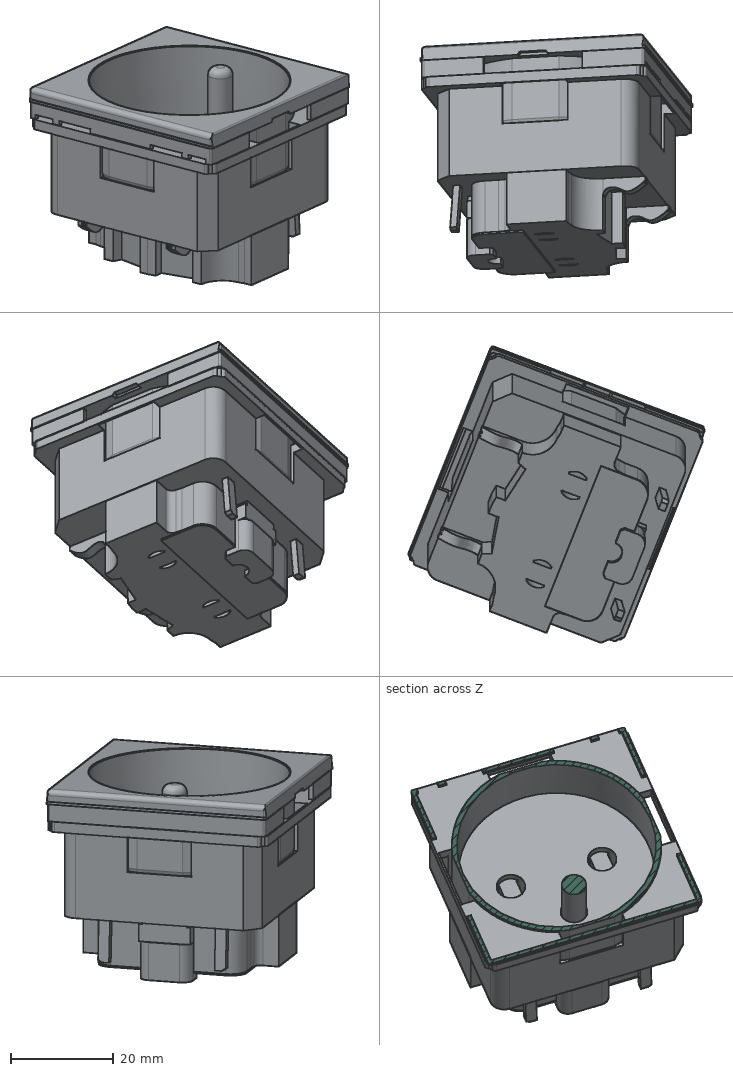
import cadquery as cq
import math


top = 0
front_band_top = -2.35
band_bottom = -2.9
slot_top = -5.35
flange_top = -6.3
flange_bottom = -8.35
cup_floor = -14.95
pocket_floor = -15.98
body_bottom = -26.0
base_bottom = -36.45
plate_bottom = -36.8
foot_bottom = -38.15

flange_half = 22.5
band_lip = 0.22
band_corner = 0.45
cover_half = flange_half - band_lip
cover_corner_radius = 0.45
cap_corner_radius = 0.6
crown_radius = 1.1
crown_side_radius = 0.35
crown_side_half = 22.25
cover_wall = 0.9
cavity_half = cover_half - cover_wall
flange_notch = 1.1
flange_round = 0.68
column_half = 21.95
column_chamfer = 0.55
slot_spans = ((7.4, 15.08), (16.7, 20.92))
window_half = 9.9
window_notch_half_bottom = 3.0
window_notch_half_top = 2.55
window_notch_height = 0.65

body_half = 20.1
body_corner = 2.92

cup_radius = 19.6
cup_floor_radius = 19.15
cup_lip = 0.2
cup_outer_radius = 20.5
cup_flat = 20.0
cup_foot_height = 0.75
cup_foot_inset = 0.22
pocket_half_width = 6.55
pocket_outer = 22.1

contact_offset = 9.5
contact_radius = 2.8
contact_hole_depth = 1.35
passage_half_height = 1.85
contact_bar_width = 3.6
pin_offset = 9.95
pin_radius = 2.45
pin_top = -0.1
pin_tip_radius = 0.8
pin_seat_radius = 2.6
pin_seat_depth = 0.9

base_half = 20.0
base_front = -6.25
base_back = 5.7
shoulder = 18.25
neck = 16.95
neck_front = -6.52
post_outer = 11.92
post_inner = 9.75
post_front = -11.85
wall_outer = 9.05
wall_outer_front = -10.05
wall_inner_front = -11.45
back_half = 15.1
back_step = 0.2
back_step_y = 8.4
back_fillet = 1.4
back_corner_y = 11.05
back_end = 14.35

rib_half = 1.8
rib_front = -13.6
rib_shy_front = -13.3

terminal_half = 5.25
terminal_back = 17.2
terminal_top = -30.5
terminal_corner = 2.1
terminal_block_back = 16.8
terminal_step = -27.1
terminal_step_inset = 0.68
foot_front = 11.6
foot_corner = 0.65
foot_groove_radius = 2.02
plate_half = 15.08
plate_front = 3.45
plate_back = 14.3

tab_inner = 10.8
tab_outer = 13.05
tab_bottom = -34.88
tab_thickness = 1.35
tab_root = 17.85
tab_tip = 18.55
tab_bevel_height = 0.75
tab_bevel_inset = 0.45
hook_front = -20.25
hook_nose_bottom = -26.9
hook_wave = [(-18.9, -28.0), (-16.65, -28.85), (-14.4, -27.95), (-13.28, -27.85), (post_front, -29.25)]
hook_groove_spans = ((10.05, 10.25), (10.7, 11.05))
hook_groove_bottom = -27
hook_groove_depth = 0.45


def slab(half_x, half_y, z_low, z_high):
    """Centred block between two levels."""
    return (
        cq.Workplane("XY")
        .workplane(offset=z_low)
        .rect(2 * half_x, 2 * half_y)
        .extrude(z_high - z_low)
    )


def block(x_span, y_span, z_span):
    """Block between two limits along each axis."""
    sizes = [high - low for low, high in (x_span, y_span, z_span)]
    corner = (x_span[0], y_span[0], z_span[0])
    return cq.Workplane("XY").box(*sizes, centered=False).translate(corner)


def disc(radius, z_low, z_high, x=0, y=0):
    """Vertical cylinder between two levels."""
    return (
        cq.Workplane("XY")
        .workplane(offset=z_low)
        .center(x, y)
        .circle(radius)
        .extrude(z_high - z_low)
    )


def both_sides(shape):
    """The shape together with its mirror image across the YZ plane."""
    return shape.union(shape.mirror("YZ"))


def make_cover():
    """Square cap with a crowned top and flared sides, a raised band and a skirt below it."""
    cap = slab(flange_half, cover_half, band_bottom, top)
    cap = cap.edges(">Z and |X").fillet(crown_radius)
    corner_limit = slab(flange_half, cover_half, band_bottom, top).edges("|Z").fillet(cap_corner_radius)
    cap = cap.intersect(make_side_profile()).intersect(corner_limit)
    band = slab(flange_half, flange_half, band_bottom, front_band_top)
    band = band.edges("|Z").chamfer(band_corner).intersect(make_side_profile())
    skirt = slab(cover_half, cover_half, flange_top, band_bottom)
    return cap.union(band).union(skirt.edges("|Z").fillet(cover_corner_radius))


def make_side_profile():
    """Limits the cap towards the sides: small top rounding and flared faces."""
    profile = (
        cq.Workplane("XZ")
        .polyline([
            (-crown_side_half, top),
            (crown_side_half, top),
            (flange_half, band_bottom),
            (-flange_half, band_bottom),
        ])
        .close()
        .extrude(flange_half, both=True)
    )
    return profile.edges(">Z and |Y").fillet(crown_side_radius)


def make_flange():
    """Flange with notched corners, each partly filled by a bevelled column."""
    flange = slab(flange_half, flange_half, flange_bottom, flange_top)
    notch_centre = flange_half - flange_notch / 2
    for x in (-notch_centre, notch_centre):
        for y in (-notch_centre, notch_centre):
            notch = slab(flange_notch / 2, flange_notch / 2, flange_bottom, flange_top)
            flange = flange.cut(notch.translate((x, y, 0)))
    flange = flange.edges("|Z").edges(">X or <X or >Y or <Y").fillet(flange_round)
    column = slab(column_half, column_half, flange_bottom, flange_top)
    return flange.union(column.edges("|Z").chamfer(column_chamfer))


def make_body():
    body = slab(body_half, body_half, body_bottom, flange_bottom)
    rounded = body.edges("|Z").edges("(<X and <Y) or (>X and >Y)").fillet(body_corner)
    return rounded.edges("|Z").edges("(<X and >Y) or (>X and <Y)").chamfer(body_corner)


def make_cup_shell():
    """Round outside of the cup with four flats, all bevelled at the foot."""
    round_shell = disc(cup_outer_radius, pocket_floor, band_bottom)
    square_shell = slab(cup_flat, cup_flat, pocket_floor, band_bottom)
    bevelled = [
        shell.faces("<Z").edges().chamfer(cup_foot_height, cup_foot_inset)
        for shell in (round_shell, square_shell)
    ]
    return bevelled[0].intersect(bevelled[1])


def make_hollows(cup_shell):
    """Cover cavity, side openings and clip pockets, all bounded inwards by the cup."""
    hollows = slab(cavity_half, cavity_half, flange_top, band_bottom)
    hollows = hollows.union(slab(pocket_outer, pocket_half_width, pocket_floor, flange_top))
    hollows = hollows.union(slab(pocket_half_width, pocket_outer, pocket_floor, flange_top))
    hollows = hollows.union(slab(flange_half, window_half, flange_top, band_bottom))
    for near, far in slot_spans:
        slot = block((near, far), (-flange_half, -cavity_half), (flange_top, slot_top))
        hollows = hollows.union(both_sides(slot))
    return hollows.cut(cup_shell)


def make_window_notches():
    bottom = band_bottom
    notch = (
        cq.Workplane("YZ")
        .polyline([
            (-window_notch_half_bottom, bottom),
            (window_notch_half_bottom, bottom),
            (window_notch_half_top, bottom + window_notch_height),
            (-window_notch_half_top, bottom + window_notch_height),
        ])
        .close()
        .extrude(flange_half, both=True)
    )
    return notch.cut(slab(cavity_half, flange_half, flange_top, top))


def make_cup_bore():
    return (
        cq.Workplane("XZ")
        .polyline([
            (0, cup_floor),
            (cup_floor_radius, cup_floor),
            (cup_radius, top - cup_lip),
            (cup_radius + cup_lip, top),
            (0, top),
        ])
        .close()
        .revolve(360, (0, 0, 0), (0, 1, 0))
    )


def make_contact_hole():
    """Round blind hole whose floor opens downwards on both sides of a contact bar."""
    floor = cup_floor - contact_hole_depth
    passage = slab(contact_radius, passage_half_height, foot_bottom, floor)
    passage = passage.intersect(disc(contact_radius, foot_bottom, floor))
    passage = passage.cut(slab(contact_bar_width / 2, contact_radius, foot_bottom, floor))
    hole = disc(contact_radius, floor, cup_floor).union(passage)
    return hole.translate((contact_offset, 0, 0))


def make_earth_pin():
    pin = disc(pin_radius, cup_floor - pin_seat_depth, pin_top, y=pin_offset)
    return pin.faces(">Z").edges().fillet(pin_radius - pin_tip_radius)


def make_base():
    """Terminal base with a scooped recess beside each front post."""
    diagonal = math.sqrt(0.5)
    scoop_middle = (
        neck - (neck - post_outer) * diagonal,
        post_front + (neck_front - post_front) * diagonal,
    )
    back_fillet_y = base_back + back_fillet
    stepped_back = back_half + back_step
    back_radius = back_end - back_corner_y
    half = (
        cq.Workplane("XY")
        .workplane(offset=base_bottom)
        .moveTo(0, wall_inner_front)
        .lineTo(rib_half, wall_inner_front)
        .lineTo(wall_outer, wall_outer_front)
        .lineTo(post_inner, post_front)
        .lineTo(post_outer, post_front)
        .threePointArc(scoop_middle, (neck, neck_front))
        .lineTo(shoulder, base_front)
        .lineTo(base_half, base_front)
        .lineTo(base_half, base_back)
        .lineTo(stepped_back + back_fillet, base_back)
        .radiusArc((stepped_back, back_fillet_y), back_fillet)
        .lineTo(back_half, back_step_y)
        .lineTo(back_half, back_corner_y)
        .radiusArc((back_half - back_radius, back_end), -back_radius)
        .lineTo(0, back_end)
        .close()
        .extrude(body_bottom - base_bottom)
    )
    return both_sides(half).union(make_rib())


def make_rib():
    """Rib whose right half falls back slightly."""
    return (
        cq.Workplane("XY")
        .workplane(offset=base_bottom)
        .polyline([
            (-rib_half, wall_inner_front),
            (-rib_half, rib_front),
            (0, rib_front),
            (rib_half, rib_shy_front),
            (rib_half, wall_inner_front),
        ])
        .close()
        .extrude(body_bottom - base_bottom)
    )


def terminal_prism(z_low, z_high):
    """Upright block with both rear corners rounded."""
    prism = block((-terminal_half, terminal_half), (foot_front, terminal_back), (z_low, z_high))
    return prism.edges("|Z and >Y").fillet(terminal_corner)


def make_terminal():
    boss = terminal_prism(base_bottom, terminal_top)
    foot = terminal_prism(foot_bottom, base_bottom)
    foot = foot.edges("|Z and <Y").chamfer(foot_corner)
    foot = foot.cut(disc(foot_groove_radius, foot_bottom, base_bottom, y=foot_front))
    inset_half = terminal_half - terminal_step_inset
    y_span = (foot_front, terminal_block_back)
    housing = block((-terminal_half, terminal_half), y_span, (terminal_top, terminal_step))
    neck_block = block((-inset_half, inset_half), y_span, (terminal_step, body_bottom))
    plate = block((-plate_half, plate_half), (plate_front, plate_back), (plate_bottom, base_bottom))
    plate = plate.edges("|Z and >Y").fillet(back_end - back_corner_y)
    return boss.union(foot).union(housing).union(neck_block).union(plate)


def make_tab():
    """Spring tab leaning outwards at the back."""
    return (
        cq.Workplane("YZ")
        .workplane(offset=tab_inner)
        .polyline([
            (tab_root, body_bottom),
            (tab_tip, tab_bottom),
            (tab_tip - tab_thickness, tab_bottom),
            (tab_root - tab_thickness, body_bottom),
        ])
        .close()
        .extrude(tab_outer - tab_inner)
        .edges("<Z and >X")
        .chamfer(tab_bevel_height, tab_bevel_inset)
    )


def make_hook():
    """Wavy retaining hook under the front of the body, grooved across its nose."""
    hook = (
        cq.Workplane("YZ")
        .workplane(offset=post_inner)
        .moveTo(post_front, body_bottom)
        .lineTo(hook_front, body_bottom)
        .lineTo(hook_front, hook_nose_bottom)
        .spline(hook_wave, includeCurrent=True)
        .close()
        .extrude(post_outer - post_inner)
    )
    for x_span in hook_groove_spans:
        y_span = (hook_front, hook_front + hook_groove_depth)
        hook = hook.cut(block(x_span, y_span, (hook_groove_bottom, body_bottom)))
    return hook


cup_shell = make_cup_shell()
result = make_cover().union(make_flange()).union(make_body())
result = result.cut(make_hollows(cup_shell)).cut(make_window_notches())
result = result.union(make_base()).union(make_terminal())
result = result.union(both_sides(make_tab())).union(both_sides(make_hook()))
result = result.cut(make_cup_bore())
result = result.cut(both_sides(make_contact_hole()))
result = result.cut(disc(pin_seat_radius, cup_floor - pin_seat_depth, cup_floor, y=pin_offset))
result = result.union(make_earth_pin())